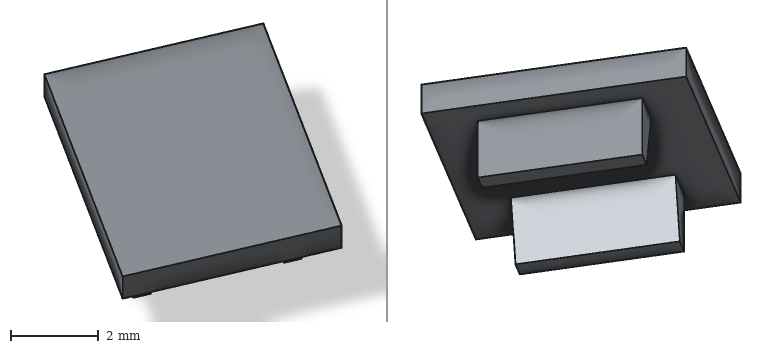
import cadquery as cq
import math

plate_length = 6.2
plate_width = 5.2
plate_thickness = 0.8
total_height = 2.36

leg_length = 3.85
leg_span = 4.0
leg_tip_thickness = 0.42
leg_taper_angle = 15.0

leg_height = total_height - plate_thickness
leg_root_thickness = leg_tip_thickness + leg_height * math.tan(math.radians(leg_taper_angle))


def make_plate():
    """Flat plate centred on the Z axis, with its underside at Z = 0."""
    return cq.Workplane("XY").box(
        plate_length, plate_width, plate_thickness, centered=(True, True, False)
    )


def make_leg(side):
    """Leg hanging from the plate on the +Y (side = 1) or -Y (side = -1) half."""
    outer_y = leg_span / 2
    profile = [
        (side * outer_y, 0),
        (side * outer_y, -leg_height),
        (side * (outer_y - leg_tip_thickness), -leg_height),
        (side * (outer_y - leg_root_thickness), 0),
    ]
    return cq.Workplane("YZ").polyline(profile).close().extrude(leg_length / 2, both=True)


result = make_plate()
for side in (-1, 1):
    result = result.union(make_leg(side))